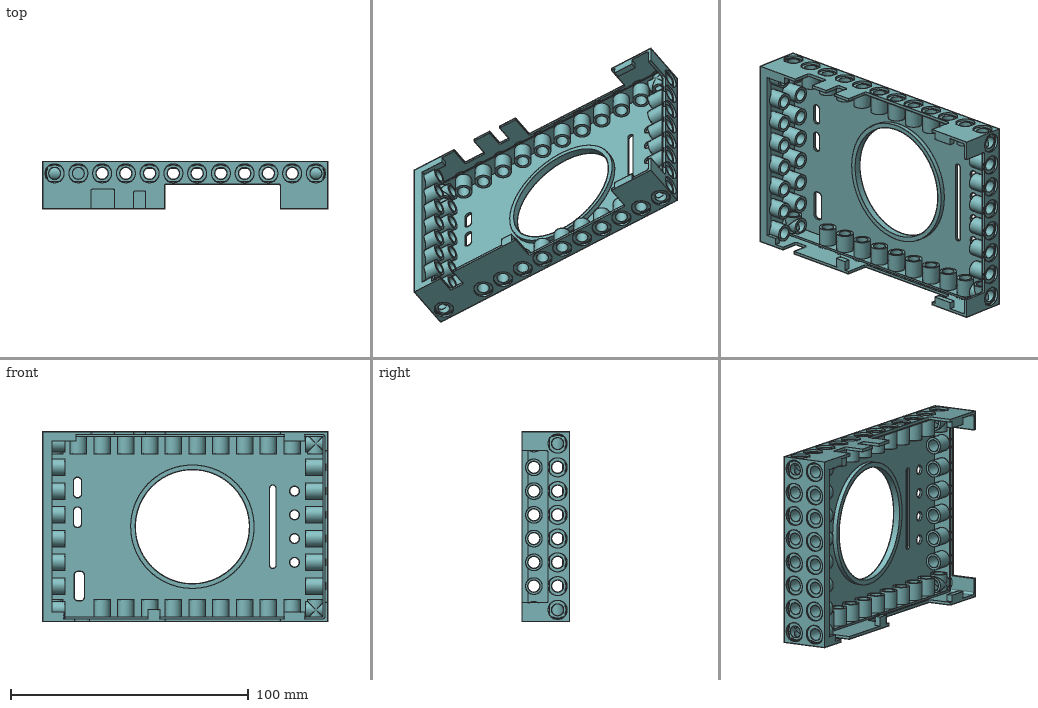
import cadquery as cq

LENGTH = 120.0
DEPTH = 20.0
HEIGHT = 80.0

WALL = 2.0
PLATE = 1.0
RIM_WALL = 1.2
LEDGE_Y = 11.5
RIM_CORNER = 1.0

PITCH = 10.0
BORE_DIAMETER = 5.0
TUBE_DIAMETER = 7.0
RECESS_DIAMETER = 8.0
RECESS_DEPTH = 0.8
GROOVE_DEPTH = 1.2
TUBE_END = 9.3
REAR_ROW_Y = DEPTH - PITCH / 2
FRONT_ROW_Y = PITCH / 2
COLUMNS = int(LENGTH / PITCH)
ROWS = int(HEIGHT / PITCH)
SOLID_BOTTOM_COLUMN = 1

LIP = 4.0
LIP_THICKNESS = 2.5
TALL_LIP = 5.1
TOP_LEFT_LIP_END = -45.9
BOTTOM_LEFT_LIP_END = -51.1
MIDDLE_LIP_START = -15.7
MIDDLE_LIP_END = -10.7
RIGHT_LIP_START = 41.6
RIGHT_LIP_END = 50.4

CUTOUT_DEPTH = 10.4
CUTOUT_START = -8.6
CUTOUT_END = 40.0
SIDE_CUTOUT_DEPTH = 10.9
CUTOUT_CORNER = 0.6
SIDE_TAB = 8.0
WIDE_NOTCH = (-39.7, -29.7, 8.3)
NARROW_NOTCH = (-21.7, -16.7, 7.6)
BOTTOM_NOTCH = (-46.7, -40.3, 7.8)

RING_X = 3.0
RING_DIAMETER = 52.0
RING_BORE = 48.0
RING_HEIGHT = 3.0
SMALL_SLOT_X = -45.35
SMALL_SLOT_WIDTH = 3.3
SMALL_SLOT_HEIGHT = 8.5
SMALL_SLOT_ZS = (16.5, 4.0)
LARGE_SLOT_X = -44.6
LARGE_SLOT_WIDTH = 4.2
LARGE_SLOT_HEIGHT = 12.3
LARGE_SLOT_Z = -25.0
SLOT_CORNER = 1.5
LONG_SLOT_X = 36.85
LONG_SLOT_WIDTH = 2.6
LONG_SLOT_HEIGHT = 35.0
LONG_SLOT_CORNER = 1.25
SCREW_DIAMETER = 4.0
SCREW_X = 46.0
SCREW_COUNT = 4

LEFT = -LENGTH / 2
RIGHT = LENGTH / 2
BOTTOM = -HEIGHT / 2
TOP = HEIGHT / 2
INTO_LEFT = (1, 0, 0)
INTO_RIGHT = (-1, 0, 0)
INTO_BOTTOM = (0, 0, 1)
INTO_TOP = (0, 0, -1)
INTO_PLATE = (0, -1, 0)


def block(x0, x1, y0, y1, z0, z1):
    size = (x1 - x0, y1 - y0, z1 - z0)
    return cq.Workplane("XY").box(*size, centered=False).translate((x0, y0, z0))


def rod(diameter, start, direction, near, far):
    """Cylinder along direction, from near to far beyond start."""
    axis = cq.Vector(*direction)
    base = cq.Vector(*start) + axis * near
    return cq.Workplane(cq.Solid.makeCylinder(diameter / 2, far - near, base, axis))


def socket_places():
    """Outer centre and inward direction of every pin socket."""
    places = []
    for column in range(COLUMNS):
        x = LEFT + PITCH * (column + 0.5)
        places.append(((x, REAR_ROW_Y, TOP), INTO_TOP))
        if column != SOLID_BOTTOM_COLUMN:
            places.append(((x, REAR_ROW_Y, BOTTOM), INTO_BOTTOM))
    for row in range(ROWS):
        z = BOTTOM + PITCH * (row + 0.5)
        places.append(((LEFT, REAR_ROW_Y, z), INTO_LEFT))
        places.append(((LEFT, FRONT_ROW_Y, z), INTO_LEFT))
        places.append(((RIGHT, REAR_ROW_Y, z), INTO_RIGHT))
    return places


def shell():
    outer = block(LEFT, RIGHT, 0, DEPTH, BOTTOM, TOP)
    cavity = block(LEFT + WALL, RIGHT - WALL, 0, DEPTH - PLATE, BOTTOM + WALL, TOP - WALL)
    rim = block(LEFT + WALL, RIGHT - RIM_WALL, 0, LEDGE_Y, BOTTOM + RIM_WALL, TOP - RIM_WALL)
    rim = rim.edges("|Y and >X").fillet(RIM_CORNER)
    return outer.cut(cavity).cut(rim)


def wall_cutout(x0, x1, depth, z_outer, direction):
    """Cut from the front edge through the top or bottom wall."""
    z_inner = z_outer + direction[2] * WALL
    z0 = min(z_outer, z_inner)
    z1 = max(z_outer, z_inner)
    return block(x0, x1, 0, depth, z0, z1).edges("|Z and >Y").fillet(CUTOUT_CORNER)


def front_cutouts():
    cuts = wall_cutout(CUTOUT_START, CUTOUT_END, CUTOUT_DEPTH, TOP, INTO_TOP)
    cuts = cuts.union(wall_cutout(CUTOUT_START, CUTOUT_END, CUTOUT_DEPTH, BOTTOM, INTO_BOTTOM))
    cuts = cuts.union(wall_cutout(*WIDE_NOTCH, TOP, INTO_TOP))
    cuts = cuts.union(wall_cutout(*NARROW_NOTCH, TOP, INTO_TOP))
    cuts = cuts.union(wall_cutout(*BOTTOM_NOTCH, BOTTOM, INTO_BOTTOM))
    side = block(RIGHT - WALL, RIGHT, 0, SIDE_CUTOUT_DEPTH, BOTTOM + SIDE_TAB, TOP - SIDE_TAB)
    return cuts.union(side.edges("|X and >Y").fillet(CUTOUT_CORNER))


def lips():
    def lip(x0, x1, z0, z1):
        return block(x0, x1, 0, LIP_THICKNESS, z0, z1)

    body = lip(LEFT, LEFT + LIP, BOTTOM, TOP)
    body = body.union(lip(LEFT, TOP_LEFT_LIP_END, TOP - LIP, TOP))
    body = body.union(lip(LEFT, BOTTOM_LEFT_LIP_END, BOTTOM, BOTTOM + LIP))
    body = body.union(lip(MIDDLE_LIP_START, MIDDLE_LIP_END, BOTTOM, BOTTOM + TALL_LIP))
    body = body.union(lip(RIGHT_LIP_START, RIGHT_LIP_END, TOP - LIP, TOP))
    return body.union(lip(RIGHT_LIP_START, RIGHT_LIP_END, BOTTOM, BOTTOM + LIP))


def add_sockets(body):
    """Crossing corner tubes merge and their bores run through each other.

    Towards the outer edges of the part the recess has a deeper groove around the tube.
    """
    side_middle = block(LEFT, RIGHT, 0, DEPTH - WALL, BOTTOM + WALL, TOP - WALL)
    end_middle = block(LEFT + WALL, RIGHT - WALL, 0, DEPTH - WALL, BOTTOM, TOP)
    for start, direction in socket_places():
        middle = side_middle if direction in (INTO_LEFT, INTO_RIGHT) else end_middle
        groove = rod(RECESS_DIAMETER, start, direction, RECESS_DEPTH, GROOVE_DEPTH).cut(middle)
        body = body.cut(rod(RECESS_DIAMETER, start, direction, 0, RECESS_DEPTH))
        body = body.cut(groove)
    for start, direction in socket_places():
        body = body.union(rod(TUBE_DIAMETER, start, direction, RECESS_DEPTH, TUBE_END))
    for start, direction in socket_places():
        body = body.cut(rod(BORE_DIAMETER, start, direction, 0, TUBE_END))
    return body


def plate_opening(x, z, width, height, corner):
    opening = block(x - width / 2, x + width / 2, DEPTH - PLATE, DEPTH, z - height / 2, z + height / 2)
    return opening.edges("|Y").fillet(corner)


def plate_openings():
    cuts = rod(RING_BORE, (RING_X, DEPTH, 0), INTO_PLATE, 0, RING_HEIGHT)
    for z in SMALL_SLOT_ZS:
        cuts = cuts.union(plate_opening(SMALL_SLOT_X, z, SMALL_SLOT_WIDTH, SMALL_SLOT_HEIGHT, SLOT_CORNER))
    cuts = cuts.union(
        plate_opening(LARGE_SLOT_X, LARGE_SLOT_Z, LARGE_SLOT_WIDTH, LARGE_SLOT_HEIGHT, SLOT_CORNER)
    )
    cuts = cuts.union(plate_opening(LONG_SLOT_X, 0, LONG_SLOT_WIDTH, LONG_SLOT_HEIGHT, LONG_SLOT_CORNER))
    for index in range(SCREW_COUNT):
        z = PITCH * (index - (SCREW_COUNT - 1) / 2)
        cuts = cuts.union(rod(SCREW_DIAMETER, (SCREW_X, DEPTH, z), INTO_PLATE, 0, PLATE))
    return cuts


body = shell().cut(front_cutouts()).union(lips())
body = body.union(rod(RING_DIAMETER, (RING_X, DEPTH, 0), INTO_PLATE, 0, RING_HEIGHT))
result = add_sockets(body).cut(plate_openings())